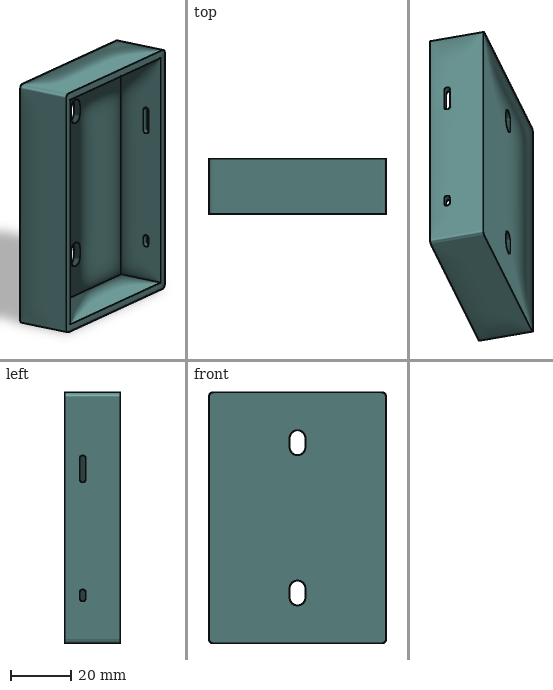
import cadquery as cq

width = 59.01
depth = 18.5
height = 83.58
corner_radius = 1.5
wall = 2.5

mount_slot_length = 8.2
mount_slot_width = 5.2
mount_slot_spacing = 50.0

side_slot_width = 2.0
side_slot_setback = 6.0
long_slot_length = 9.0
long_slot_z = 16.3
short_slot_length = 4.0
short_slot_z = -25.8

front_y = -depth / 2
rim_y = depth / 2
left_x = -width / 2
side_slot_y = rim_y - side_slot_setback


def make_shell():
    """Box with four rounded edges along Y, hollowed from the +Y rim."""
    body = cq.Workplane("XY").box(width, depth, height).edges("|Y").fillet(corner_radius)
    cavity = (
        cq.Workplane("XY")
        .box(width - 2 * wall, depth - wall, height - 2 * wall)
        .translate((0, wall / 2, 0))
    )
    return body.cut(cavity)


def make_mount_slot(z):
    """Cutter for a vertical slot through the front plate."""
    return (
        cq.Workplane("XZ", origin=(0, front_y + wall, z))
        .slot2D(mount_slot_length, mount_slot_width, 90)
        .extrude(wall)
    )


def make_side_slot(z, length):
    """Cutter for a vertical slot through the -X wall."""
    return (
        cq.Workplane("YZ", origin=(left_x, side_slot_y, z))
        .slot2D(length, side_slot_width, 90)
        .extrude(wall)
    )


result = make_shell()
for slot_z in (-mount_slot_spacing / 2, mount_slot_spacing / 2):
    result = result.cut(make_mount_slot(slot_z))
for slot_z, slot_length in ((long_slot_z, long_slot_length), (short_slot_z, short_slot_length)):
    result = result.cut(make_side_slot(slot_z, slot_length))